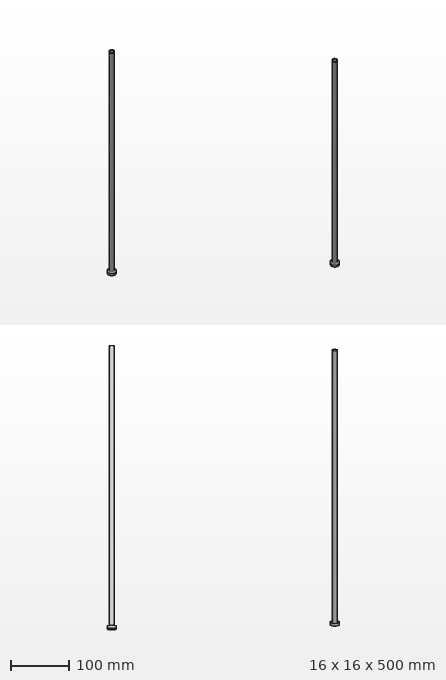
import cadquery as cq

total_length = 500.0
head_diameter = 16.0
head_height = 5.0
shaft_diameter = 10.0
bore_diameter = 7.0
root_fillet_radius = 0.5

head_radius = head_diameter / 2
shaft_radius = shaft_diameter / 2
bore_radius = bore_diameter / 2


def wall_profile():
    """Closed outline of the sleeve wall on one side of the axis, with a rounded shaft root."""
    return (
        cq.Workplane("XZ")
        .moveTo(bore_radius, 0)
        .lineTo(head_radius, 0)
        .lineTo(head_radius, head_height)
        .lineTo(shaft_radius + root_fillet_radius, head_height)
        .radiusArc((shaft_radius, head_height + root_fillet_radius), root_fillet_radius)
        .lineTo(shaft_radius, total_length)
        .lineTo(bore_radius, total_length)
        .close()
    )


result = wall_profile().revolve(360, (0, 0, 0), (0, 1, 0))